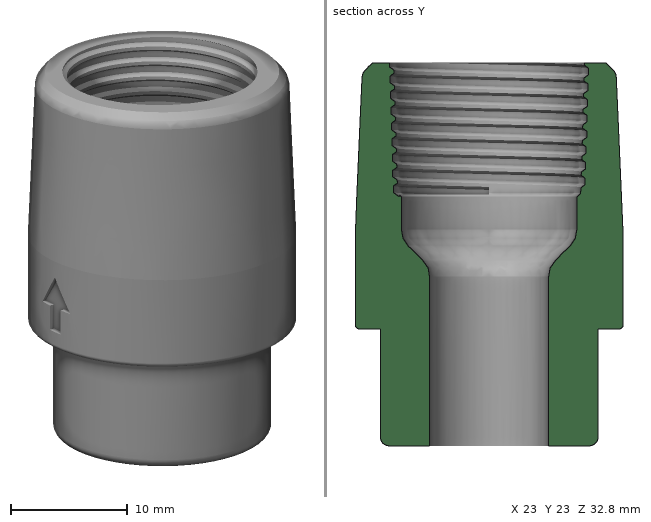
import cadquery as cq
import math

height = 32.8
body_radius = 23.0 / 2
spigot_radius = 9.35
shoulder_z = 10.0
taper_start_z = 18.0
top_radius = 10.9
shoulder_fillet = 0.4
spigot_fillet = 0.8
top_flat_radius = 10.05
top_chamfer_height = 0.85
top_fillet = 1.0

through_radius = 5.1
relief_radius = 15.0 / 2
seat_fillet = 1.97
seat_top_z = 17.72
seat_slope = 1.0
thread_end_z = 21.65

pitch = 1.35
thread_taper = 1 / 32
crest_radius_top = 8.17
thread_depth = 0.35
root_width = 0.52
mouth_width = 1.05
thread_start_angle = 90.0

arrow_tip_z = 16.57
arrow_head_z = 13.78
arrow_base_z = 11.58
arrow_head_half_width = 1.97
arrow_stem_half_width = 0.75
arrow_depth = 0.5


def circles_at(z):
    """Select the edges whose centre lies at height z."""
    margin = 0.03
    return cq.selectors.BoxSelector(
        (-body_radius, -body_radius, z - margin),
        (body_radius, body_radius, z + margin),
    )


def make_body():
    chamfer_z = height - top_chamfer_height
    outline = [
        (0, 0),
        (spigot_radius, 0),
        (spigot_radius, shoulder_z),
        (body_radius, shoulder_z),
        (body_radius, taper_start_z),
        (top_radius, chamfer_z),
        (top_flat_radius, height),
        (0, height),
    ]
    body = cq.Workplane("XZ").polyline(outline).close().revolve(360, (0, 0, 0), (0, 1, 0))
    body = body.edges("%CIRCLE").edges(circles_at(chamfer_z)).fillet(top_fillet)
    body = body.faces("<Z").edges().fillet(spigot_fillet)
    shoulder_rim = cq.selectors.RadiusNthSelector(-1)
    return body.faces("|Z").edges(shoulder_rim).fillet(shoulder_fillet)


def crest_radius(z):
    return crest_radius_top - (height - z) * thread_taper


def make_bore():
    seat_bottom_z = seat_top_z - (relief_radius - through_radius) * seat_slope
    thread_end_radius = crest_radius(thread_end_z)
    chamfer_end_z = thread_end_z - (thread_end_radius - relief_radius)
    outline = [
        (0, 0),
        (through_radius, 0),
        (through_radius, seat_bottom_z),
        (relief_radius, seat_top_z),
        (relief_radius, chamfer_end_z),
        (thread_end_radius, thread_end_z),
        (crest_radius_top, height),
        (0, height),
    ]
    bore = cq.Workplane("YZ").polyline(outline).close().revolve(360, (0, 0, 0), (0, 1, 0))
    bore = bore.edges("%CIRCLE").edges(circles_at(seat_top_z)).fillet(seat_fillet)
    return bore.edges("%CIRCLE").edges(circles_at(seat_bottom_z)).fillet(seat_fillet)


def make_thread_groove():
    start_z = thread_end_z
    start_radius = crest_radius(start_z)
    overlap = 0.13
    flank_slope = (mouth_width - root_width) / 2 / thread_depth
    inner_half_width = mouth_width / 2 + overlap * flank_slope
    length = height - start_z + pitch
    taper_angle = math.degrees(math.atan(thread_taper))
    path = cq.Wire.makeHelix(pitch, length, start_radius, angle=taper_angle)
    profile = [
        (start_radius - overlap, -inner_half_width),
        (start_radius + thread_depth, -root_width / 2),
        (start_radius + thread_depth, root_width / 2),
        (start_radius - overlap, inner_half_width),
    ]
    groove = cq.Workplane("XZ").polyline(profile).close().sweep(cq.Workplane(path), isFrenet=True)
    return groove.rotate((0, 0, 0), (0, 0, 1), thread_start_angle).translate((0, 0, start_z))


def make_arrow():
    right_side = [
        (arrow_stem_half_width, arrow_base_z),
        (arrow_stem_half_width, arrow_head_z),
        (arrow_head_half_width, arrow_head_z),
    ]
    left_side = [(-x, z) for x, z in reversed(right_side)]
    outline = right_side + [(0, arrow_tip_z)] + left_side
    floor = cq.Workplane("XZ", origin=(0, -(body_radius - arrow_depth), 0))
    return floor.polyline(outline).close().extrude(2 * arrow_depth)


result = make_body().cut(make_thread_groove()).cut(make_bore()).cut(make_arrow())